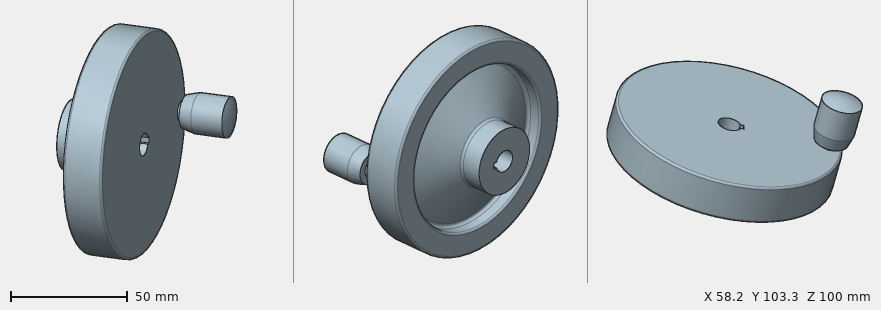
import cadquery as cq
import math


wheel_radius = 50.0
rim_start = 16.06
rim_width = 18.0
rim_end = rim_start + rim_width
rim_inner_radius = 77.05 / 2
rim_edge_fillet = 1.0

hub_radius = 31.0 / 2
hub_length = 10.3
web_angle = 59.0
hub_fillet = 1.5
rim_root_fillet = 1.3

bore_radius = 5.0
key_width = 3.0
key_reach = 6.4

total_length = 58.16
knob_offset = 44.26
stem_radius = 8.64 / 2
stem_length = 2.0
knob_radius = 9.0
knob_base_radius = 7.4
taper_length = 6.0
taper_bulge = 0.1
dome_height = 1.9


def make_wheel():
    """Revolve the hub, conical web and rim as one body, then round its edges."""
    web_depth = (rim_inner_radius - hub_radius) / math.tan(math.radians(web_angle))
    web_end = hub_length + web_depth
    wheel = (
        cq.Workplane("XY")
        .moveTo(0, 0)
        .lineTo(0, hub_radius)
        .lineTo(hub_length, hub_radius)
        .lineTo(web_end, rim_inner_radius)
        .lineTo(rim_start, rim_inner_radius)
        .lineTo(rim_start, wheel_radius)
        .lineTo(rim_end, wheel_radius)
        .lineTo(rim_end, 0)
        .close()
        .revolve(360, (0, 0, 0), (1, 0, 0))
    )
    wheel = fillet_circle(wheel, hub_length, hub_radius, hub_fillet)
    wheel = fillet_circle(wheel, web_end, rim_inner_radius, rim_root_fillet)
    wheel = fillet_circle(wheel, rim_start, rim_inner_radius, rim_edge_fillet)
    for face_x in (rim_start, rim_end):
        wheel = fillet_circle(wheel, face_x, wheel_radius, rim_edge_fillet)
    return wheel


def fillet_circle(body, edge_x, edge_radius, fillet_radius):
    """Round the circular edge of the given radius that lies at edge_x."""
    tolerance = 0.01
    edges = [
        edge
        for edge in body.edges("%CIRCLE").vals()
        if abs(edge.Center().x - edge_x) < tolerance
        and abs(edge.radius() - edge_radius) < tolerance
    ]
    return body.newObject(edges).fillet(fillet_radius)


def make_bore():
    """Through bore with a keyway on its +Y side."""
    bore = cq.Workplane("YZ").circle(bore_radius).extrude(rim_end)
    keyway = (
        cq.Workplane("YZ")
        .center(key_reach / 2, 0)
        .rect(key_reach, key_width)
        .extrude(rim_end)
    )
    return bore.union(keyway)


def make_knob():
    """Stem, bowed taper, cylindrical grip and domed end, revolved about the knob's own axis."""
    knob_start = rim_end + stem_length
    taper_end = knob_start + taper_length
    taper_mid_x = (knob_start + taper_end) / 2
    taper_mid_radius = (knob_base_radius + knob_radius) / 2 + taper_bulge
    dome_start = total_length - dome_height
    dome_radius = (knob_radius**2 + dome_height**2) / (2 * dome_height)
    dome_mid_radius = knob_radius / 2
    dome_center_x = total_length - dome_radius
    dome_mid_x = dome_center_x + math.sqrt(dome_radius**2 - dome_mid_radius**2)
    return (
        cq.Workplane("XY")
        .moveTo(rim_end, 0)
        .lineTo(rim_end, stem_radius)
        .lineTo(knob_start, stem_radius)
        .lineTo(knob_start, knob_base_radius)
        .threePointArc((taper_mid_x, taper_mid_radius), (taper_end, knob_radius))
        .lineTo(dome_start, knob_radius)
        .threePointArc((dome_mid_x, dome_mid_radius), (total_length, 0))
        .close()
        .revolve(360, (0, 0, 0), (1, 0, 0))
        .translate((0, knob_offset, 0))
    )


result = make_wheel().cut(make_bore()).union(make_knob())